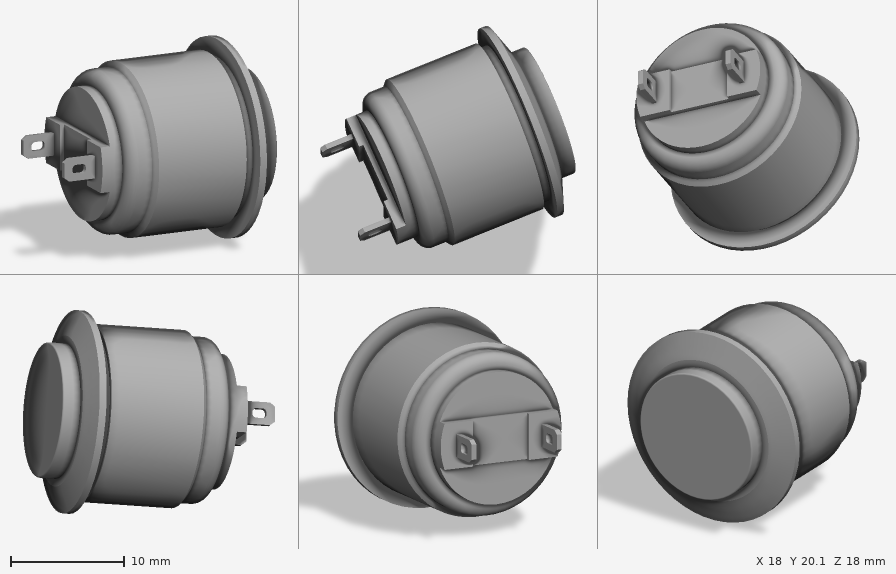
import cadquery as cq

overall_length = 20.1

core_radius = 12.0 / 2
button_edge_round = 0.15

flange_radius = 18.0 / 2
flange_face_radius = 6.7
flange_face_depth = 1.6
flange_edge_depth = 2.45
flange_seat_depth = 3.1

barrel_radius = 15.8 / 2
neck_radius = 14.8 / 2
barrel_start_depth = 3.9
barrel_chamfer_depth = 12.46
rim_start_depth = 12.9
rim_end_depth = 15.15
rim_round = 0.95

core_end_depth = 16.2
bar_end_depth = 17.1
bar_height = 4.18
recess_width = 5.55
recess_depth = 0.4

terminal_spacing = 8.48
terminal_thickness = 0.48
terminal_height = 2.05
terminal_chamfer_length = 0.46
terminal_chamfer_height = 0.35
eyelet_length = 1.29
eyelet_height = 0.86
eyelet_corner_radius = 0.35
eyelet_setback = 1.45


def disc(radius, start_depth, end_depth):
    """Cylinder about the Y axis between two depths."""
    plane = cq.Workplane("XZ", origin=(0, -start_depth, 0))
    return plane.circle(radius).extrude(end_depth - start_depth)


def make_shell():
    """Flange, neck, barrel and rear rim revolved as one profile."""
    return (
        cq.Workplane("XY")
        .moveTo(0, -flange_face_depth)
        .lineTo(flange_face_radius, -flange_face_depth)
        .lineTo(flange_radius, -flange_edge_depth)
        .lineTo(flange_radius, -flange_seat_depth)
        .lineTo(neck_radius, -flange_seat_depth)
        .lineTo(neck_radius, -barrel_start_depth)
        .lineTo(barrel_radius, -barrel_start_depth)
        .lineTo(barrel_radius, -barrel_chamfer_depth)
        .lineTo(neck_radius, -rim_start_depth)
        .lineTo(neck_radius, rim_round - rim_end_depth)
        .radiusArc((neck_radius - rim_round, -rim_end_depth), rim_round)
        .lineTo(0, -rim_end_depth)
        .close()
        .revolve(360, (0, 0, 0), (0, 1, 0))
    )


def make_core():
    """Button and rear core, running through the shell."""
    return disc(core_radius, 0, core_end_depth).faces(">Y").edges().fillet(button_edge_round)


def make_bar():
    """Bar across the rear core, with its ends on the core's curve and a shallow middle recess."""
    strip_length = bar_end_depth - core_end_depth
    strip = cq.Workplane("XY").box(2 * core_radius, 2 * strip_length, bar_height)
    strip = strip.translate((0, -core_end_depth, 0))
    bar = disc(core_radius, core_end_depth, bar_end_depth).intersect(strip)
    recess = cq.Workplane("XY").box(recess_width, 2 * recess_depth, bar_height)
    return bar.cut(recess.translate((0, -bar_end_depth, 0)))


def make_terminal(x_center):
    """Flat solder tab with chamfered tip corners and an oblong eyelet."""
    half_height = terminal_height / 2
    shoulder = terminal_chamfer_length - overall_length
    tip_half_height = half_height - terminal_chamfer_height
    tab = (
        cq.Workplane("YZ")
        .polyline([
            (-core_end_depth, -half_height),
            (shoulder, -half_height),
            (-overall_length, -tip_half_height),
            (-overall_length, tip_half_height),
            (shoulder, half_height),
            (-core_end_depth, half_height),
        ])
        .close()
        .extrude(terminal_thickness / 2, both=True)
    )
    eyelet = (
        cq.Workplane("XY")
        .box(2 * terminal_thickness, eyelet_length, eyelet_height)
        .edges("|X")
        .fillet(eyelet_corner_radius)
        .translate((0, eyelet_setback - overall_length, 0))
    )
    return tab.cut(eyelet).translate((x_center, 0, 0))


result = make_shell().union(make_core()).union(make_bar())
for side in (-1, 1):
    result = result.union(make_terminal(side * terminal_spacing / 2))